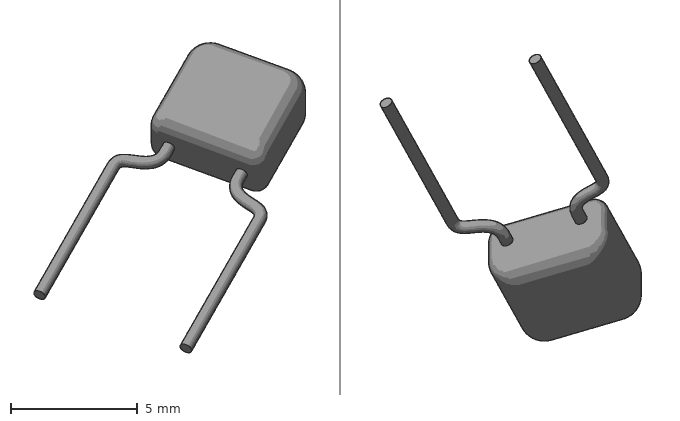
import cadquery as cq

OVERALL_LENGTH = 13.6
OVERALL_WIDTH = 6.85

HOUSING_WIDTH = 5.06
HOUSING_DEPTH = 4.8
HOUSING_HEIGHT = 3.2
MAIN_RADIUS = 1.0
FRONT_CORNER_RADIUS = 0.5

WIRE_DIAMETER = 0.5
ROOT_OFFSET = 1.58
ROOT_LENGTH = 0.33
BEND_LENGTH = 1.47
BEND_MIDDLE_OFFSET = 2.48
BEND_MIDDLE_DROP = 1.24

TIP_OFFSET = (OVERALL_WIDTH - WIRE_DIAMETER) / 2
TIP_Y = HOUSING_DEPTH - OVERALL_LENGTH
BEND_START_Y = -ROOT_LENGTH
BEND_END_Y = BEND_START_Y - BEND_LENGTH


def make_housing():
    """Block with large rounds all over and tighter rounds on the two lead-side corners."""
    block = cq.Workplane("XY").box(
        HOUSING_WIDTH, HOUSING_DEPTH, HOUSING_HEIGHT, centered=(True, False, True)
    )
    block = block.edges("#Z or (|Z and >Y)").fillet(MAIN_RADIUS)
    return block.edges("|Z and <Y").fillet(FRONT_CORNER_RADIUS)


def make_lead(side):
    """Round wire with an outward S-bend; side is -1 or +1 along X."""
    toward_tip = (0, -1)
    path = (
        cq.Workplane("XY")
        .moveTo(side * ROOT_OFFSET, 0)
        .lineTo(side * ROOT_OFFSET, BEND_START_Y)
        .spline(
            [(side * BEND_MIDDLE_OFFSET, -BEND_MIDDLE_DROP), (side * TIP_OFFSET, BEND_END_Y)],
            tangents=[toward_tip, toward_tip],
            includeCurrent=True,
        )
        .lineTo(side * TIP_OFFSET, TIP_Y)
    )
    wire_section = cq.Workplane("XZ").center(side * ROOT_OFFSET, 0).circle(WIRE_DIAMETER / 2)
    return wire_section.sweep(path)


housing = make_housing()
leads = [make_lead(side) for side in (-1, 1)]

result = cq.Compound.makeCompound([housing.val(), *[lead.val() for lead in leads]])